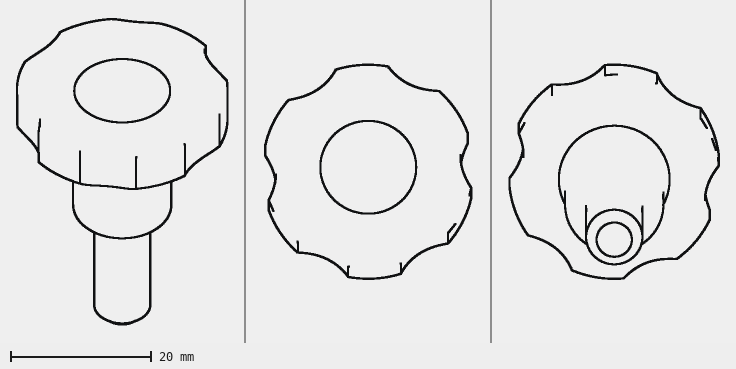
import cadquery as cq
import math

total_height = 44.0
head_radius = 14.95
head_height = 8.98

crown_height = 1.5
crown_arc_radius = 5.0
dish_rim_radius = 11.2
dish_floor_radius = 6.8
dish_depth = 2.0
dish_rim_fillet = 1.0
grip_count = 6
grip_radius = 7.0
grip_center_radius = 20.15
grip_edge_fillet = 0.2

neck_top_radius = 7.88
collar_radius = 7.0
collar_bottom = 20.0
collar_top = 28.55
collar_fillet = 0.45
shaft_radius = 4.0
shaft_root_fillet = 0.2
tip_radius = 2.5
tip_height = 1.55

head_bottom = total_height - head_height


def make_head():
    """Disc with rounded crowns above and below, scalloped by the finger grips."""
    flat_radius = head_radius - math.sqrt(crown_arc_radius**2 - (crown_arc_radius - crown_height) ** 2)
    half_sweep = math.acos(1 - crown_height / crown_arc_radius) / 2
    mid_radius = flat_radius + crown_arc_radius * math.sin(half_sweep)
    mid_drop = crown_arc_radius * (1 - math.cos(half_sweep))

    head = (
        cq.Workplane("XZ")
        .moveTo(0, head_bottom)
        .lineTo(flat_radius, head_bottom)
        .threePointArc((mid_radius, head_bottom + mid_drop), (head_radius, head_bottom + crown_height))
        .lineTo(head_radius, total_height - crown_height)
        .threePointArc((mid_radius, total_height - mid_drop), (flat_radius, total_height))
        .lineTo(0, total_height)
        .close()
        .revolve(360, (0, 0, 0), (0, 1, 0))
    )
    grips = (
        cq.Workplane("XY")
        .workplane(offset=head_bottom)
        .polarArray(grip_center_radius, 0, 360, grip_count)
        .circle(grip_radius)
        .extrude(head_height)
    )
    head = head.cut(grips)

    outer_edges = head.faces("not(<Z or >Z)").edges("not(|Z or <Z or >Z)")
    return outer_edges.fillet(grip_edge_fillet)


def cut_dish(head):
    """Sink a conical dish into the top of the head and round its rim."""
    dish = (
        cq.Workplane("XZ")
        .moveTo(0, total_height)
        .lineTo(dish_rim_radius, total_height)
        .lineTo(dish_floor_radius, total_height - dish_depth)
        .lineTo(0, total_height - dish_depth)
        .close()
        .revolve(360, (0, 0, 0), (0, 1, 0))
    )
    dished = head.cut(dish)
    rim = dished.faces(">Z").edges(cq.selectors.RadiusNthSelector(0))
    return rim.fillet(dish_rim_fillet)


def make_stem():
    """Tapered neck, collar and shaft with a conical tip."""
    stem = (
        cq.Workplane("XZ")
        .moveTo(0, 0)
        .lineTo(tip_radius, 0)
        .lineTo(shaft_radius, tip_height)
        .lineTo(shaft_radius, collar_bottom)
        .lineTo(collar_radius, collar_bottom)
        .lineTo(collar_radius, collar_top)
        .lineTo(neck_top_radius, head_bottom)
        .lineTo(0, head_bottom)
        .close()
        .revolve(360, (0, 0, 0), (0, 1, 0))
    )
    shoulder = cq.selectors.BoxSelector(
        (-collar_radius, -collar_radius, collar_bottom - collar_fillet),
        (collar_radius, collar_radius, collar_bottom + collar_fillet),
    )
    shoulder_edges = stem.edges("%CIRCLE").edges(shoulder)
    stem = shoulder_edges.edges(cq.selectors.RadiusNthSelector(0)).fillet(shaft_root_fillet)
    shoulder_edges = stem.edges("%CIRCLE").edges(shoulder)
    return shoulder_edges.edges(cq.selectors.RadiusNthSelector(-1)).fillet(collar_fillet)


result = cut_dish(make_head()).union(make_stem())